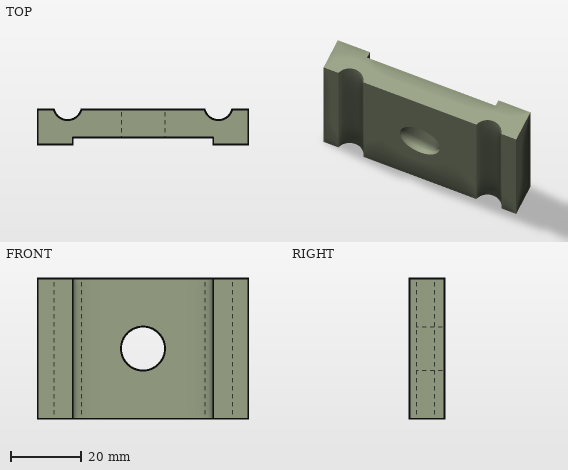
import cadquery as cq

length = 60.0
thickness = 10.0
height = 40.0

channel_width = 40.0
channel_depth = 2.0

groove_radius = 4.0
groove_depth = 3.0
groove_spacing = 42.95

hole_diameter = 12.5

front_y = -thickness / 2
back_y = thickness / 2


def make_block():
    return cq.Workplane("XY").box(length, thickness, height)


def make_channel():
    channel_center_y = front_y + channel_depth / 2
    return (
        cq.Workplane("XY")
        .box(channel_width, channel_depth, height)
        .translate((0, channel_center_y, 0))
    )


def make_grooves():
    axis_y = back_y + groove_radius - groove_depth
    axis_x = groove_spacing / 2
    return (
        cq.Workplane("XY")
        .pushPoints([(-axis_x, axis_y), (axis_x, axis_y)])
        .circle(groove_radius)
        .extrude(height / 2, both=True)
    )


def make_hole():
    return cq.Workplane("XZ").circle(hole_diameter / 2).extrude(thickness / 2, both=True)


result = make_block().cut(make_channel()).cut(make_grooves()).cut(make_hole())